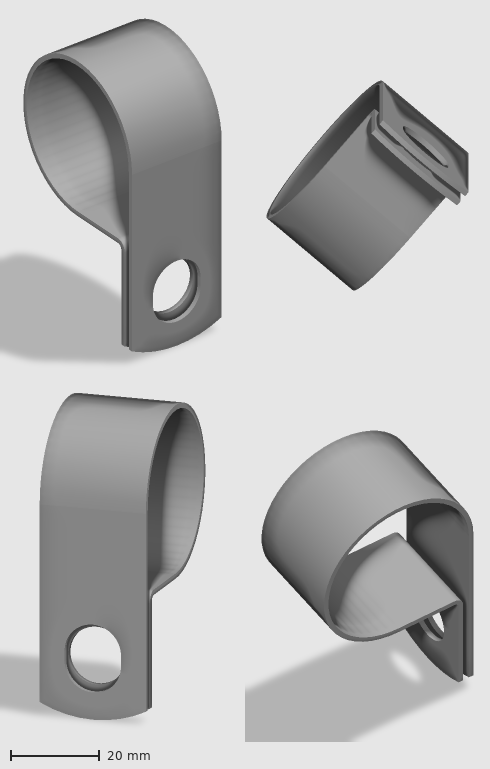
import cadquery as cq
import math

strap_width = 25.4
strap_thickness = 1.2192
tube_diameter = 38.1
overall_height = 69.47
leg_gap = 1.57
bend_inner_radius = 1.2192
hole_diameter = 13.494
slot_length = 15.875
hole_to_tip = 14.27
tip_radius = 28.575

inner_radius = tube_diameter / 2
outer_radius = inner_radius + strap_thickness
bend_outer_radius = bend_inner_radius + strap_thickness
tip_z = outer_radius - overall_height
long_leg_inner_x = inner_radius
short_leg_outer_x = long_leg_inner_x - leg_gap
short_leg_inner_x = short_leg_outer_x - strap_thickness
bend_center_x = short_leg_outer_x - bend_outer_radius
bend_center_z = -inner_radius - bend_outer_radius
half_width = strap_width / 2
tip_shoulder_z = tip_z + tip_radius - math.sqrt(tip_radius**2 - half_width**2)


def point_on_circle(center_x, center_z, radius, angle_degrees):
    angle = math.radians(angle_degrees)
    return (center_x + radius * math.cos(angle), center_z + radius * math.sin(angle))


def make_strap():
    """Bent strip: long leg, three-quarter loop, flat shelf, bend and short leg."""
    loop_middle_angle = 135
    bend_middle_angle = 45
    profile = (
        cq.Workplane("XZ")
        .moveTo(outer_radius, tip_z)
        .lineTo(outer_radius, 0)
        .threePointArc(point_on_circle(0, 0, outer_radius, loop_middle_angle), (0, -outer_radius))
        .lineTo(bend_center_x, -outer_radius)
        .threePointArc(
            point_on_circle(bend_center_x, bend_center_z, bend_inner_radius, bend_middle_angle),
            (short_leg_inner_x, bend_center_z),
        )
        .lineTo(short_leg_inner_x, tip_z)
        .lineTo(short_leg_outer_x, tip_z)
        .lineTo(short_leg_outer_x, bend_center_z)
        .threePointArc(
            point_on_circle(bend_center_x, bend_center_z, bend_outer_radius, bend_middle_angle),
            (bend_center_x, -inner_radius),
        )
        .lineTo(0, -inner_radius)
        .threePointArc(point_on_circle(0, 0, inner_radius, loop_middle_angle), (inner_radius, 0))
        .lineTo(inner_radius, tip_z)
        .close()
    )
    return profile.extrude(half_width, both=True)


def make_end_outline():
    """Envelope along X that gives both legs their arched tips."""
    return (
        cq.Workplane("YZ")
        .moveTo(-half_width, outer_radius)
        .lineTo(-half_width, tip_shoulder_z)
        .threePointArc((0, tip_z), (half_width, tip_shoulder_z))
        .lineTo(half_width, outer_radius)
        .close()
        .extrude(outer_radius, both=True)
    )


def leg_workplane(leg_inner_x):
    """Plane on the inner face of a leg, centered on its hole, with Y across and Z up."""
    return cq.Workplane("YZ", origin=(leg_inner_x, 0, tip_z + hole_to_tip))


def make_short_leg_hole():
    """Round hole through the short leg."""
    return leg_workplane(short_leg_inner_x).circle(hole_diameter / 2).extrude(strap_thickness)


def make_long_leg_slot():
    """Slot through the long leg, as wide as the round hole and elongated along Z."""
    return (
        leg_workplane(long_leg_inner_x)
        .slot2D(slot_length, hole_diameter, angle=90)
        .extrude(strap_thickness)
    )


strap = make_strap().intersect(make_end_outline())
result = strap.cut(make_short_leg_hole()).cut(make_long_leg_slot())